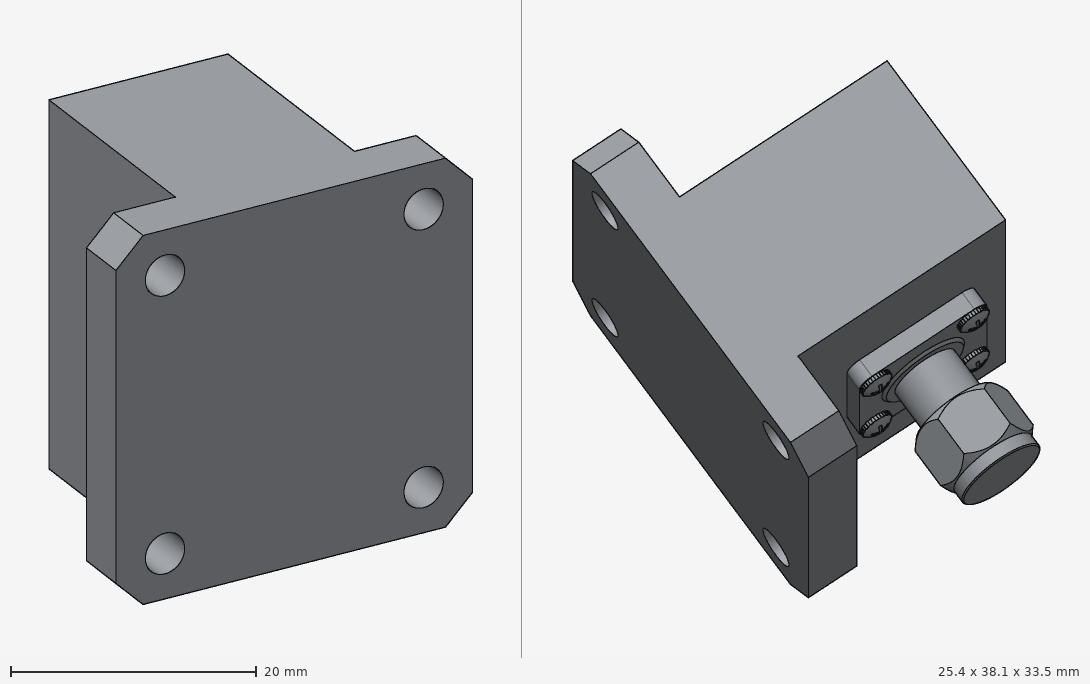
import cadquery as cq
import math

LENGTH = 25.4
TOTAL_WIDTH = 38.1
FLANGE_SIDE = 33.53
FLANGE_THICKNESS = 4.8
FLANGE_CORNER_CUT = 2.55
BLOCK_WIDTH = 16.85
MOUNT_HOLE_DIAMETER = 3.7
MOUNT_HOLE_SPACING_Y = 24.3
MOUNT_HOLE_SPACING_Z = 25.25

CONNECTOR_X = 9.4
BASE_SIDE = 12.7
BASE_THICKNESS = 1.75
BASE_CORNER_RADIUS = 1.25
BARREL_DIAMETER = 6.0
STEP_DIAMETER = 8.2
STEP_HEIGHT = 0.25
STEP_TAPER = 45.0
NUT_ACROSS_FLATS = 7.95
NUT_LENGTH = 5.35
NUT_END_DIAMETER = 7.77
NUT_CHAMFER_LENGTH = 0.85
COLLAR_DIAMETER = 7.77
COLLAR_LENGTH = 1.25
COLLAR_CHAMFER = 0.1

SCREW_OFFSET = 4.85
HEAD_DIAMETER = 2.95
HEAD_RIM_HEIGHT = 0.42
HEAD_HEIGHT = 1.0
KNURL_COUNT = 16
KNURL_DEPTH = 0.08
CROSS_WIDTH = 0.3
CROSS_DEPTH = 0.2

BLOCK_FACE_Y = BLOCK_WIDTH / 2
BASE_FACE_Y = BLOCK_FACE_Y + BASE_THICKNESS
CONNECTOR_END_Y = TOTAL_WIDTH - FLANGE_SIDE / 2
NUT_FRONT_Y = CONNECTOR_END_Y - COLLAR_LENGTH
NUT_BACK_Y = NUT_FRONT_Y - NUT_LENGTH


def facing_y(y, x=CONNECTOR_X, z=0.0):
    """Workplane at (x, y, z) whose normal is +Y, with local x along +X and local y along -Z."""
    return cq.Workplane(cq.Plane(origin=(x, y, z), xDir=(1, 0, 0), normal=(0, 1, 0)))


def make_housing():
    block_length = LENGTH - FLANGE_THICKNESS
    block = cq.Workplane("XY").box(block_length, BLOCK_WIDTH, FLANGE_SIDE, centered=(False, True, True))
    flange = (
        cq.Workplane("YZ", origin=(block_length, 0, 0))
        .rect(FLANGE_SIDE, FLANGE_SIDE)
        .extrude(FLANGE_THICKNESS)
        .edges("|X")
        .chamfer(FLANGE_CORNER_CUT)
        .faces("<X")
        .workplane(centerOption="CenterOfBoundBox")
        .rect(MOUNT_HOLE_SPACING_Y, MOUNT_HOLE_SPACING_Z, forConstruction=True)
        .vertices()
        .hole(MOUNT_HOLE_DIAMETER)
    )
    return block.union(flange)


def make_nut():
    """Hexagon with flats facing +Z and -Z, its corners trimmed by a cone at both ends."""
    across_corners = NUT_ACROSS_FLATS / math.cos(math.pi / 6)
    corner_radius = across_corners / 2
    end_radius = NUT_END_DIAMETER / 2
    hexagon = facing_y(NUT_BACK_Y).polygon(6, across_corners).extrude(NUT_LENGTH)
    trimming_profile = [
        (0, 0),
        (end_radius, 0),
        (corner_radius, NUT_CHAMFER_LENGTH),
        (corner_radius, NUT_LENGTH - NUT_CHAMFER_LENGTH),
        (end_radius, NUT_LENGTH),
        (0, NUT_LENGTH),
    ]
    trimming_body = (
        cq.Workplane("XY")
        .polyline(trimming_profile)
        .close()
        .revolve(360, (0, 0, 0), (0, 1, 0))
        .translate((CONNECTOR_X, NUT_BACK_Y, 0))
    )
    return hexagon.intersect(trimming_body)


def make_connector():
    """Base plate, conical step, barrel, hexagonal nut and front collar in one piece."""
    base = (
        facing_y(BLOCK_FACE_Y)
        .rect(BASE_SIDE, BASE_SIDE)
        .extrude(BASE_THICKNESS)
        .edges("|Y")
        .fillet(BASE_CORNER_RADIUS)
    )
    step = facing_y(BASE_FACE_Y).circle(STEP_DIAMETER / 2).extrude(STEP_HEIGHT, taper=STEP_TAPER)
    barrel = facing_y(BASE_FACE_Y).circle(BARREL_DIAMETER / 2).extrude(NUT_BACK_Y - BASE_FACE_Y)
    collar = (
        facing_y(NUT_FRONT_Y)
        .circle(COLLAR_DIAMETER / 2)
        .extrude(COLLAR_LENGTH)
        .faces(">Y")
        .chamfer(COLLAR_CHAMFER)
    )
    return base.union(step).union(barrel).union(make_nut()).union(collar)


def make_screw(x, z):
    """Domed head with a knurled rim and a cross slot, seated on the connector base."""
    radius = HEAD_DIAMETER / 2
    dome_height = HEAD_HEIGHT - HEAD_RIM_HEIGHT
    dome_radius = (radius**2 + dome_height**2) / (2 * dome_height)
    dome_mid_x = radius / 2
    dome_mid_y = HEAD_HEIGHT - dome_radius + math.sqrt(dome_radius**2 - dome_mid_x**2)
    head = (
        cq.Workplane("XY")
        .lineTo(radius, 0)
        .lineTo(radius, HEAD_RIM_HEIGHT)
        .threePointArc((dome_mid_x, dome_mid_y), (0, HEAD_HEIGHT))
        .close()
        .revolve(360, (0, 0, 0), (0, 1, 0))
        .translate((x, BASE_FACE_Y, z))
    )
    knurl_width = math.pi * HEAD_DIAMETER / KNURL_COUNT / 2
    knurl_grooves = (
        facing_y(BASE_FACE_Y, x, z)
        .polarArray(radius, 0, 360, KNURL_COUNT)
        .rect(2 * KNURL_DEPTH, knurl_width)
        .extrude(HEAD_RIM_HEIGHT)
    )
    cross_floor = facing_y(BASE_FACE_Y + HEAD_HEIGHT - CROSS_DEPTH, x, z)
    slot_along_x = cross_floor.rect(HEAD_DIAMETER, CROSS_WIDTH).extrude(CROSS_DEPTH)
    slot_along_z = cross_floor.rect(CROSS_WIDTH, HEAD_DIAMETER).extrude(CROSS_DEPTH)
    return head.cut(knurl_grooves).cut(slot_along_x).cut(slot_along_z)


housing = make_housing()
connector = make_connector()
screws = [
    make_screw(CONNECTOR_X + side_x * SCREW_OFFSET, side_z * SCREW_OFFSET)
    for side_x in (-1, 1)
    for side_z in (-1, 1)
]

result = cq.Compound.makeCompound(
    [housing.val(), connector.val(), *[screw.val() for screw in screws]]
)